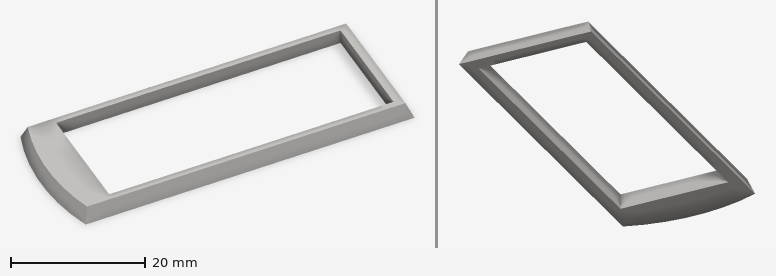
import cadquery as cq
import math

width = 22.0
length = 56.4
bow_depth = 1.9
height = 2.5
wall_inset = 1.0

window_width = 17.9
window_length = 47.1
end_rail = 2.5

half_width = width / 2
straight_end = length / 2
bow_tip = -length / 2
bow_start = bow_tip + bow_depth
taper_angle = math.degrees(math.atan(wall_inset / height))


def make_body():
    """Tapered plate with one straight end and one bowed end."""
    return (
        cq.Workplane("XY")
        .moveTo(-half_width, straight_end)
        .lineTo(-half_width, bow_start)
        .threePointArc((0, bow_tip), (half_width, bow_start))
        .lineTo(half_width, straight_end)
        .close()
        .extrude(height, taper=taper_angle)
    )


def make_window():
    """Straight-walled opening through the full height."""
    window_center = straight_end - end_rail - window_length / 2
    return (
        cq.Workplane("XY")
        .center(0, window_center)
        .rect(window_width, window_length)
        .extrude(height)
    )


result = make_body().cut(make_window())